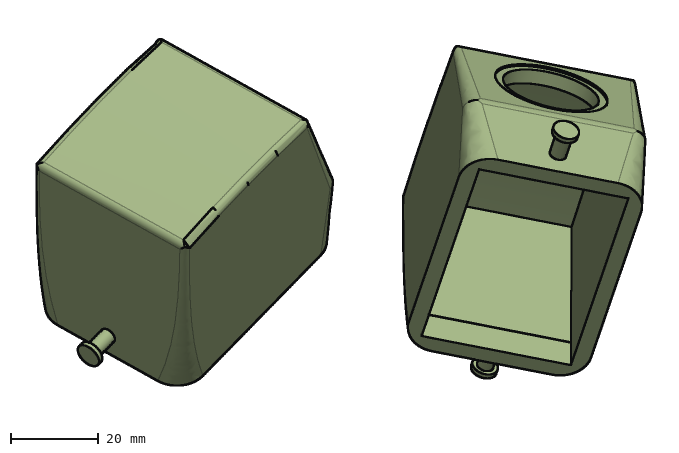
import cadquery as cq
import math

width = 43.0
base_half_length = 30.0
front_top_y = -29.3
rear_knee_y = 29.7
knee_height = 19.8
knee_radius = 6.75
slope_angle = 20.0
shoulder_height = 50.7
crown_height = 51.9
top_fillet = 1.7
wall = 3.9

front_corner_radii = [(0, 7.35), (14.25, 3.9), (27, 2.3), (crown_height, 1.6)]
rear_base_radius = 7.35
rear_knee_radius = 3.45
rear_top_radius = 1.4
corner_overshoot = 0.75

entry_y = 24.0
entry_diameter = 22.5
recess_diameter = 26.4
recess_depth = 0.45

overall_length = 75.0
pin_height = 6.1
pin_diameter = 3.9
head_diameter = 6.1
head_thickness = 1.3

slope_run = math.tan(math.radians(slope_angle))
half_width = width / 2


def front_y(height):
    """Y of the drafted front face."""
    return -base_half_length + (front_top_y + base_half_length) * height / shoulder_height


def slope_y(height):
    """Y of the sloped rear face."""
    return rear_knee_y - (height - knee_height) * slope_run


shoulder_y = slope_y(shoulder_height)
crown_y = (shoulder_y + front_top_y) / 2


def side_profile():
    return (
        cq.Workplane("YZ")
        .moveTo(-base_half_length, 0)
        .lineTo(base_half_length, 0)
        .lineTo(rear_knee_y, knee_height)
        .lineTo(shoulder_y, shoulder_height)
        .threePointArc((crown_y, crown_height), (front_top_y, shoulder_height))
        .close()
    )


def rounded_block():
    block = side_profile().extrude(half_width, both=True)
    knee = cq.selectors.NearestToPointSelector((0, rear_knee_y, knee_height))
    block = block.edges(knee).fillet(knee_radius)
    crown = cq.selectors.NearestToPointSelector((0, crown_y, crown_height))
    return block.faces(crown).edges().fillet(top_fillet)


def corner_section(side, end, face_y, height, radius):
    """Outline between a square corner and its rounding; side and end are +1 or -1."""
    x_edge = side * half_width
    x_center = x_edge - side * radius
    y_center = face_y - end * radius
    reach = radius * math.sqrt(0.5)
    x_out = x_edge + side * corner_overshoot
    y_out = face_y + end * corner_overshoot
    start = cq.Vector(x_center, face_y, height)
    middle = cq.Vector(x_center + side * reach, y_center + end * reach, height)
    finish = cq.Vector(x_edge, y_center, height)
    outside = [
        finish,
        cq.Vector(x_out, y_center, height),
        cq.Vector(x_out, y_out, height),
        cq.Vector(x_center, y_out, height),
        start,
    ]
    edges = [cq.Edge.makeThreePointArc(start, middle, finish)]
    edges += [cq.Edge.makeLine(a, b) for a, b in zip(outside, outside[1:])]
    return cq.Wire.assembleEdges(edges)


def corner_cutters(side):
    front = [corner_section(side, -1, front_y(z), z, r) for z, r in front_corner_radii]
    base = corner_section(side, 1, base_half_length, 0, rear_base_radius)
    knee = corner_section(side, 1, rear_knee_y, knee_height, rear_knee_radius)
    top = corner_section(side, 1, slope_y(crown_height), crown_height, rear_top_radius)
    return [
        cq.Solid.makeLoft(front),
        cq.Solid.makeLoft([base, knee], True),
        cq.Solid.makeLoft([knee, top], True),
    ]


def cavity():
    """Open-bottomed hollow with an even wall on the sides, ends and top."""
    inside = side_profile().offset2D(-wall).extrude(half_width - wall, both=True)
    opening = (
        cq.Workplane("XY")
        .rect(width - 2 * wall, 2 * (base_half_length - wall))
        .extrude(2 * wall)
    )
    return inside.union(opening)


def entry_hole():
    entry_height = knee_height + (rear_knee_y - entry_y) / slope_run
    tilt = math.radians(slope_angle)
    inward = cq.Vector(0, -math.cos(tilt), -math.sin(tilt))
    center = cq.Vector(0, entry_y, entry_height)
    outer = center - inward * wall
    bore = cq.Solid.makeCylinder(entry_diameter / 2, 3 * wall, outer, inward)
    recess = cq.Solid.makeCylinder(recess_diameter / 2, wall + recess_depth, outer, inward)
    return bore.fuse(recess)


def pin(end):
    """Headed pin on one end wall, rooted in the middle of the wall."""
    axis = cq.Vector(0, end, 0)
    root_y = base_half_length - wall / 2
    head_y = overall_length / 2 - head_thickness
    root = cq.Vector(0, end * root_y, pin_height)
    head_start = cq.Vector(0, end * head_y, pin_height)
    shank = cq.Solid.makeCylinder(pin_diameter / 2, head_y - root_y, root, axis)
    head = cq.Solid.makeCylinder(head_diameter / 2, head_thickness, head_start, axis)
    return shank.fuse(head)


result = rounded_block()
for side in (-1, 1):
    for cutter in corner_cutters(side):
        result = result.cut(cq.Workplane(cutter))
result = result.cut(cavity()).cut(cq.Workplane(entry_hole()))
for end in (-1, 1):
    result = result.union(cq.Workplane(pin(end)))